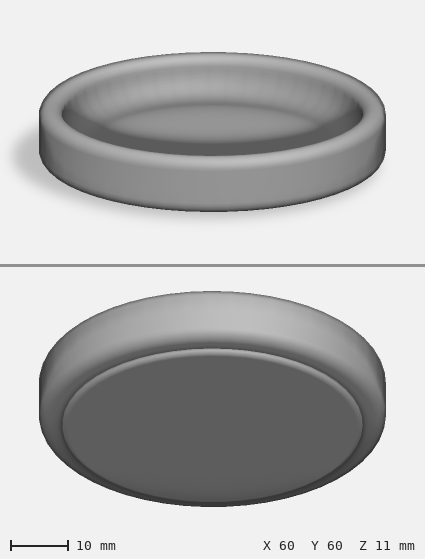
import cadquery as cq
import math

outer_diameter = 60.0
total_height = 11.0
foot_diameter = 52.0
foot_height = 0.95
edge_radius = 2.0
floor_diameter = 42.0

outer_radius = outer_diameter / 2
foot_radius = foot_diameter / 2
floor_radius = floor_diameter / 2
rim_crest = outer_radius - edge_radius
dish_radius = rim_crest - edge_radius
cove_radius = dish_radius - floor_radius

body_lower = foot_height + edge_radius
rim_center_level = total_height - edge_radius
floor_level = rim_center_level - cove_radius


def arc_point(center_r, center_z, radius, angle):
    """Point (r, z) on an arc at the given angle in degrees."""
    turn = math.radians(angle)
    return (center_r + radius * math.cos(turn), center_z + radius * math.sin(turn))


foot_edge_middle = arc_point(foot_radius - foot_height, foot_height, foot_height, -45)
lower_edge_middle = arc_point(rim_crest, body_lower, edge_radius, -45)
cove_middle = arc_point(floor_radius, rim_center_level, cove_radius, -45)

section = (
    cq.Workplane("XZ")
    .lineTo(foot_radius - foot_height, 0)
    .threePointArc(foot_edge_middle, (foot_radius, foot_height))
    .lineTo(rim_crest, foot_height)
    .threePointArc(lower_edge_middle, (outer_radius, body_lower))
    .lineTo(outer_radius, rim_center_level)
    .threePointArc(
        arc_point(rim_crest, rim_center_level, edge_radius, 45),
        (rim_crest, total_height),
    )
    .threePointArc(
        arc_point(rim_crest, rim_center_level, edge_radius, 135),
        (dish_radius, rim_center_level),
    )
    .threePointArc(cove_middle, (floor_radius, floor_level))
    .lineTo(0, floor_level)
    .close()
)

result = section.revolve(360, (0, 0, 0), (0, 1, 0))